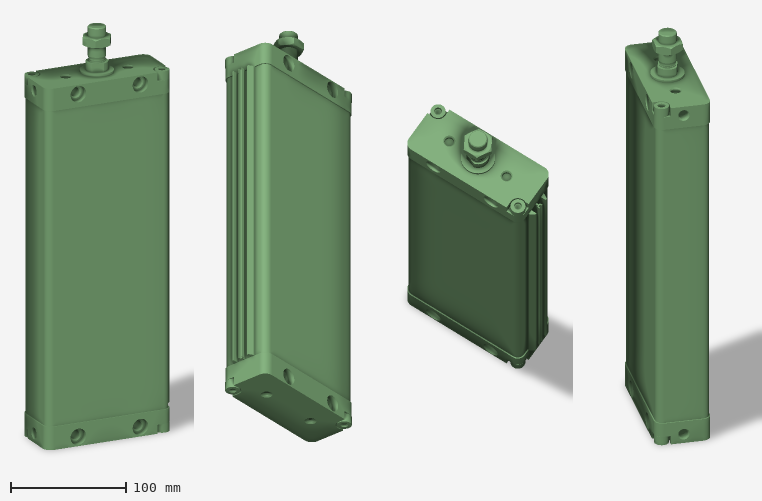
import cadquery as cq
import math

total_height = 374.0
cap_width = 50.0
cap_depth = 121.0
cap_corner_radius = 7.5
bottom_cap_height = 21.5
top_cap_height = 20.5
top_cap_top = 331.7
top_cap_bottom = top_cap_top - top_cap_height

barrel_inset = 1.0
barrel_width = cap_width - 2 * barrel_inset
barrel_depth = cap_depth - 2 * barrel_inset
barrel_corner_radius = cap_corner_radius - barrel_inset
barrel_height = top_cap_bottom - bottom_cap_height

rail_height = 5.2
rail_back = cap_depth / 2 + rail_height
side_rail_inner = 7.5
side_rail_top_width = 1.5
side_rail_base_width = 4.0
side_rail_foot_back = cap_depth / 2 + 1.0
middle_rail_stem_width = 1.5
middle_rail_head_width = 4.0
middle_rail_head_height = 2.5
middle_rail_groove_width = 2.5
middle_rail_groove_depth = 2.0

thread_mouth_diameter = 10.5
thread_diameter = 8.2
thread_chamfer = (thread_mouth_diameter - thread_diameter) / 2
hole_from_end_face = 8.5
hole_pitch = 60.0
port_depth = 7.5
end_hole_depth = 3.7
counterbore_diameter = 15.0
counterbore_depth = 5.5

screw_from_side = 6.7
screw_head_diameter = 13.0
screw_head_height = 8.2
screw_pocket_diameter = 15.0
front_opening_width = 13.5
socket_diameter = 6.7
socket_depth = 2.5
socket_tip_diameter = 5.0
socket_tip_depth = 1.5

collar_diameter = 30.0
collar_height = 2.2
rod_diameter = 20.0
rod_shoulder = 342.0
flat_spacing = 17.0
flat_angle = -18.0
neck_diameter = 15.0
neck_groove_diameter = 14.0
neck_groove_bottom = 343.0
neck_groove_width = 1.0
thread_start = 345.2
rod_thread_diameter = 16.0
thread_taper_run = (rod_thread_diameter - neck_diameter) / 2
thread_taper_height = 2.0
rod_end_chamfer = 0.7
nut_sides = 6
nut_width = 24.0
nut_bottom = 357.0
nut_height = 8.0
nut_chamfer_angle = 30.0


def rounded_block(width, depth, height, radius):
    return cq.Workplane("XY").rect(width, depth).extrude(height).edges("|Z").fillet(radius)


def cylinder(diameter, height):
    return cq.Workplane("XY").circle(diameter / 2).extrude(height)


def countersunk_hole(depth):
    """Cutter going down from Z = 0, wide at the mouth."""
    bore = cylinder(thread_diameter, -depth)
    mouth = (
        cq.Workplane("XY")
        .circle(thread_mouth_diameter / 2)
        .workplane(offset=-thread_chamfer)
        .circle(thread_diameter / 2)
        .loft()
    )
    return bore.union(mouth)


def mounting_hole_half():
    """Cutter from the side face at Z = 0 down to the middle of the cap."""
    counterbore = cylinder(counterbore_diameter, -counterbore_depth)
    bore = countersunk_hole(cap_width / 2 - counterbore_depth)
    return counterbore.union(bore.translate((0, 0, -counterbore_depth)))


def screw_pocket():
    """Corner notch for a screw head, open to -X and -Y, with its mouth at Z = 0."""
    reach = 2 * screw_from_side
    round_part = cylinder(screw_pocket_diameter, -screw_head_height)
    front_opening = (
        cq.Workplane("XY")
        .center(0, -reach / 2)
        .rect(front_opening_width, reach)
        .extrude(-screw_head_height)
    )
    side_opening = (
        cq.Workplane("XY")
        .center(-reach / 2, 0)
        .rect(reach, screw_pocket_diameter)
        .extrude(-screw_head_height)
    )
    return round_part.union(front_opening).union(side_opening)


def screw_head():
    """Socket head with its top at Z = 0."""
    head = cylinder(screw_head_diameter, -screw_head_height)
    socket = cylinder(socket_diameter, -socket_depth)
    tip = cq.Workplane("XY").add(
        cq.Solid.makeCone(0, socket_tip_diameter / 2, socket_tip_depth)
    ).translate((0, 0, -socket_depth - socket_tip_depth))
    return head.cut(socket).cut(tip)


def make_cap(height):
    """End cap with its outer end face at Z = 0 and its body below it."""
    cap = rounded_block(cap_width, cap_depth, -height, cap_corner_radius)

    port = countersunk_hole(port_depth).rotate((0, 0, 0), (1, 0, 0), 90)
    cap = cap.cut(port.translate((0, -cap_depth / 2, -hole_from_end_face)))

    side_hole = mounting_hole_half().rotate((0, 0, 0), (0, 1, 0), 90)
    side_hole = side_hole.translate((cap_width / 2, 0, -hole_from_end_face))
    for y in (-hole_pitch / 2, hole_pitch / 2):
        for turn in (0, 180):
            cap = cap.cut(side_hole.rotate((0, 0, 0), (0, 0, 1), turn).translate((0, y, 0)))
        cap = cap.cut(countersunk_hole(end_hole_depth).translate((0, y, 0)))

    screw_place = (screw_from_side - cap_width / 2, screw_from_side - cap_depth / 2, 0)
    pocket = screw_pocket().translate(screw_place)
    head = screw_head().translate(screw_place)
    for turn in (0, 180):
        cap = cap.cut(pocket.rotate((0, 0, 0), (0, 0, 1), turn))
        cap = cap.union(head.rotate((0, 0, 0), (0, 0, 1), turn))
    return cap


def make_bottom_cap():
    return make_cap(bottom_cap_height).mirror("XY")


def make_top_cap():
    cap = make_cap(top_cap_height).translate((0, 0, top_cap_top))
    cap = cap.union(cylinder(collar_diameter, collar_height).translate((0, 0, top_cap_top)))
    return cap.cut(cylinder(rod_diameter, total_height))


def side_rail():
    """Rail on the +X side, upright towards the middle and sloping outwards."""
    return (
        cq.Workplane("XY")
        .moveTo(side_rail_inner, 0)
        .lineTo(side_rail_inner, rail_back)
        .lineTo(side_rail_inner + side_rail_top_width, rail_back)
        .lineTo(side_rail_inner + side_rail_base_width, side_rail_foot_back)
        .lineTo(side_rail_inner + side_rail_base_width, 0)
        .close()
        .extrude(barrel_height)
    )


def bar_at_back(width, back, depth):
    """Upright bar centred on X = 0 whose rear face is at Y = back."""
    return (
        cq.Workplane("XY")
        .center(0, back - depth / 2)
        .rect(width, depth)
        .extrude(barrel_height)
    )


def middle_rail():
    stem = bar_at_back(middle_rail_stem_width, rail_back, rail_back)
    head = bar_at_back(middle_rail_head_width, rail_back, middle_rail_head_height)
    groove = bar_at_back(middle_rail_groove_width, rail_back, middle_rail_groove_depth)
    return stem.union(head).cut(groove)


def make_barrel():
    barrel = rounded_block(barrel_width, barrel_depth, barrel_height, barrel_corner_radius)
    barrel = barrel.union(side_rail()).union(side_rail().mirror("YZ")).union(middle_rail())
    return barrel.translate((0, 0, bottom_cap_height))


def make_rod():
    rod = cylinder(rod_diameter, rod_shoulder - top_cap_bottom).translate((0, 0, top_cap_bottom))

    collar_top = top_cap_top + collar_height
    flat_height = rod_shoulder - collar_top
    flats = (
        cylinder(rod_diameter, flat_height)
        .cut(cq.Workplane("XY").rect(flat_spacing, rod_diameter).extrude(flat_height))
        .rotate((0, 0, 0), (0, 0, 1), flat_angle)
        .translate((0, 0, collar_top))
    )
    rod = rod.cut(flats)

    neck = cylinder(neck_diameter, thread_start - rod_shoulder).translate((0, 0, rod_shoulder))
    groove = (
        cq.Workplane("XY", origin=(0, 0, neck_groove_bottom))
        .circle(neck_diameter / 2)
        .circle(neck_groove_diameter / 2)
        .extrude(neck_groove_width)
    )
    neck = neck.cut(groove)

    thread = cylinder(rod_thread_diameter, total_height - thread_start)
    thread = thread.faces("<Z").edges().chamfer(thread_taper_height, thread_taper_run)
    thread = thread.faces(">Z").edges().chamfer(rod_end_chamfer)
    thread = thread.translate((0, 0, thread_start))
    return rod.union(neck).union(thread)


def make_nut():
    corner_diameter = nut_width / math.cos(math.pi / nut_sides)
    chamfer_run = (corner_diameter - nut_width) / 2
    chamfer_rise = chamfer_run * math.tan(math.radians(nut_chamfer_angle))
    nut = cq.Workplane("XY").polygon(nut_sides, corner_diameter).extrude(nut_height)
    nut = nut.rotate((0, 0, 0), (0, 0, 1), 90)
    chamfered_disc = cylinder(corner_diameter, nut_height).edges().chamfer(chamfer_rise, chamfer_run)
    nut = nut.intersect(chamfered_disc).cut(cylinder(rod_thread_diameter, nut_height))
    return nut.translate((0, 0, nut_bottom))


bottom_cap = make_bottom_cap()
barrel = make_barrel()
top_cap = make_top_cap()
rod = make_rod()
nut = make_nut()

result = cq.Compound.makeCompound(
    [bottom_cap.val(), barrel.val(), top_cap.val(), rod.val(), nut.val()]
)